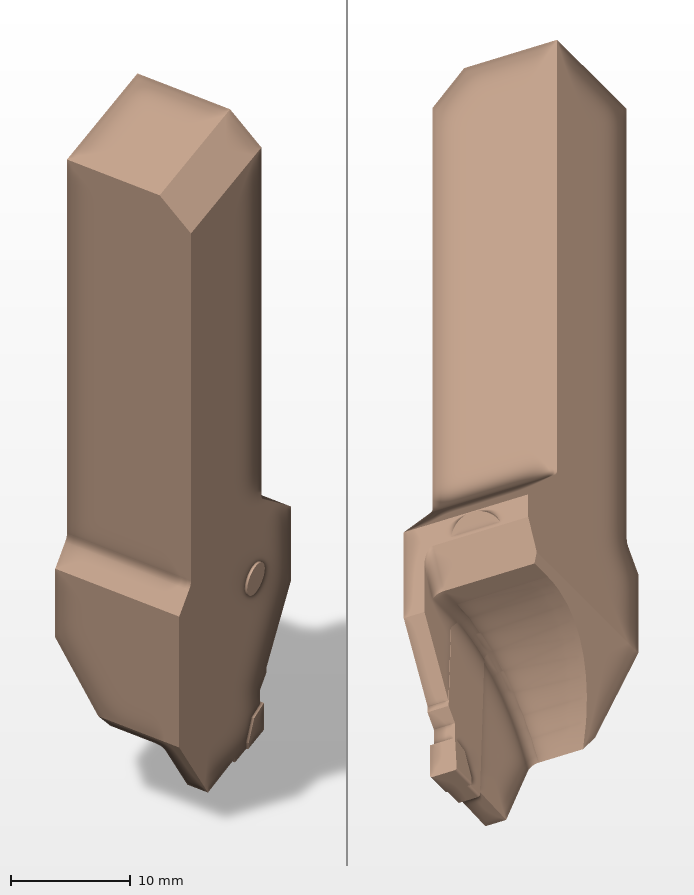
import cadquery as cq
import math

shank_width = 11.88
shank_depth = 12.0
total_height = 70.0
top_chamfer = 3.0

head_front_y = -2.0
head_back_y = 17.0
shoulder_z = 26.6
shoulder_fillet = 1.0
head_front_low_z = 9.55
head_back_low_z = 13.0

blade_inner_x = 9.9
blade_foot_front = (2.9, 0.33)
blade_foot_seat = (7.5, 0.5)
blade_back_tip = (12.9, 6.55)

slope_top_z = 16.7
slope_angle = math.radians(30)

pocket_fillet = 0.8
pocket_roof_z = 15.92
pocket_roof_back_y = 15.1
pocket_wall_angle = math.radians(29)
pocket_arc_radius = 16.8
pocket_arc_start_y = 12.8
pocket_arc_end_angle = math.radians(70)
pocket_margin = 10.0

screw_x = 5.0
screw_tip_y = 17.72
screw_tip_z = 21.0
screw_radius = 2.6
screw_depth = 4.0

overall_x = 12.12
pad_radius = 1.5
pad_y = 10.65
pad_z = 18.6

insert_inner_x = 9.86
insert_tilt = math.radians(3.1)
insert_front_foot_y = 7.5
insert_top_z = 15.15
insert_chamfer_top_y = 11.4
insert_chamfer_low = (12.45, 14.05)
insert_heel = (12.9, 5.95)
insert_neck_y = 11.8
insert_neck_z = 4.85
insert_foot_radius = 0.2

tip_back_y = 12.0
tip_top_z = 3.25
tip_shoulder = (10.35, 2.85)
tip_front_y = 9.4
tip_front_z = 0.75
tip_top_x = 9.75
tip_bottom_x = 9.58
tip_corner_radius = 0.2


def prism(points, x_start, x_end):
    """Extrude a (Y, Z) polygon from x_start to x_end."""
    plane = cq.Workplane("YZ").workplane(offset=x_start)
    return plane.polyline(points).close().extrude(x_end - x_start)


def make_blank():
    """Shank, head and blade outline at the full width of the shank."""
    shoulder_front_z = shoulder_z + head_front_y
    shoulder_back_z = shoulder_z - (head_back_y - shank_depth)
    blank = prism(
        [
            (0, total_height),
            (0, shoulder_z),
            (head_front_y, shoulder_front_z),
            (head_front_y, head_front_low_z),
            blade_foot_front,
            blade_foot_seat,
            blade_back_tip,
            (head_back_y, head_back_low_z),
            (head_back_y, shoulder_back_z),
            (shank_depth, shoulder_z),
            (shank_depth, total_height),
        ],
        0,
        shank_width,
    )
    for shoulder_y in (0, shank_depth):
        corner = cq.NearestToPointSelector((shank_width / 2, shoulder_y, shoulder_z))
        blank = blank.edges("|X").edges(corner).fillet(shoulder_fillet)
    return blank.faces(">Z").edges(">X").chamfer(top_chamfer)


def make_slope_cutter():
    """Wedge below the sloped face, running along the whole head."""
    slope_run = slope_top_z * math.tan(slope_angle)
    outline = cq.Workplane("XZ", origin=(0, head_back_y, 0)).polyline(
        [(0, slope_top_z), (0, 0), (slope_run, 0)]
    )
    return outline.close().extrude(head_back_y - head_front_y)


def make_pocket_cutter():
    """Pocket with a slanted back wall, a flat roof and a falling arc, filleted at the blade."""
    wall_top_y = pocket_roof_back_y + pocket_margin * math.tan(pocket_wall_angle)
    arc_center_z = pocket_roof_z - pocket_arc_radius

    def arc_point(angle):
        return (
            pocket_arc_start_y - pocket_arc_radius * math.sin(angle),
            arc_center_z + pocket_arc_radius * math.cos(angle),
        )

    arc_end = arc_point(pocket_arc_end_angle)
    outline = (
        cq.Workplane("YZ", origin=(-pocket_margin, 0, 0))
        .moveTo(wall_top_y, pocket_roof_z + pocket_margin)
        .lineTo(pocket_roof_back_y, pocket_roof_z)
        .lineTo(pocket_arc_start_y, pocket_roof_z)
        .threePointArc(arc_point(pocket_arc_end_angle / 2), arc_end)
        .lineTo(arc_end[0], -pocket_margin)
        .lineTo(wall_top_y, -pocket_margin)
        .close()
    )
    cutter = outline.extrude(blade_inner_x + pocket_margin)
    return cutter.faces(">X").edges("not(<Z or <Y or >Y)").fillet(pocket_fillet)


def make_screw_head():
    """Cylinder square to the back wall of the pocket, whose rim rises past the head."""
    wall_run = math.sin(pocket_wall_angle)
    wall_rise = math.cos(pocket_wall_angle)
    center_y = screw_tip_y - screw_radius * wall_run
    center_z = screw_tip_z - screw_radius * wall_rise
    return cq.Workplane(
        cq.Solid.makeCylinder(
            screw_radius,
            screw_depth,
            cq.Vector(screw_x, center_y, center_z),
            cq.Vector(0, -wall_rise, wall_run),
        )
    )


def make_pad():
    """Low disc standing on the +X face."""
    plane = cq.Workplane("YZ", origin=(shank_width, pad_y, pad_z))
    return plane.circle(pad_radius).extrude(overall_x - shank_width)


def make_insert_plate():
    """Tilted plate that fills the seat in the blade."""
    front_top_y = insert_front_foot_y - insert_top_z * math.tan(insert_tilt)
    return prism(
        [
            (insert_front_foot_y, 0),
            (front_top_y, insert_top_z),
            (insert_chamfer_top_y, insert_top_z),
            insert_chamfer_low,
            insert_heel,
            (insert_neck_y, insert_neck_z),
            (insert_neck_y, 0),
        ],
        insert_inner_x,
        shank_width,
    )


def make_insert_tip():
    """Cutting tip: stepped side outline, tapered on -X, with rounded lower corners."""
    side = prism(
        [
            (tip_back_y, 0),
            (tip_back_y, tip_top_z),
            tip_shoulder,
            (tip_front_y, tip_front_z),
            (tip_front_y, 0),
        ],
        tip_bottom_x,
        overall_x,
    )
    front = (
        cq.Workplane("XZ", origin=(0, tip_back_y, 0))
        .polyline(
            [
                (tip_bottom_x, 0),
                (overall_x, 0),
                (overall_x, tip_top_z),
                (tip_top_x, tip_top_z),
            ]
        )
        .close()
        .extrude(tip_back_y - tip_front_y)
    )
    front = front.edges("|Y and <Z").fillet(tip_corner_radius)
    return side.intersect(front)


insert_plate = make_insert_plate()

holder = (
    make_blank()
    .cut(make_slope_cutter())
    .cut(make_pocket_cutter())
    .cut(insert_plate)
    .union(make_screw_head())
    .union(make_pad())
)

rounded_plate = insert_plate.faces("<Z").edges("<X").fillet(insert_foot_radius)
insert = rounded_plate.union(make_insert_tip())

result = cq.Compound.makeCompound([holder.solids().val(), insert.solids().val()])